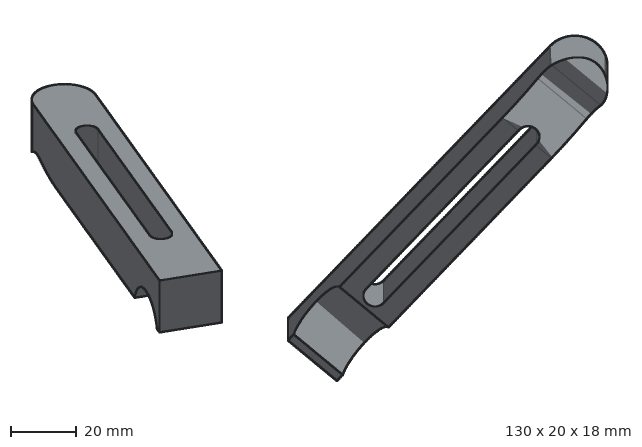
import cadquery as cq
import math

length = 130.0
width = 20.0
height = 18.0
nose_radius = width / 2

slot_start = 28.0
slot_length = 77.0
slot_width = 7.0

notch_radius = 10.9
notch_depth = 7.8
notch_x = length - 13.1

toe_x = nose_radius / 2
toe_radius = 8.0
hollow_height = 2.5
hollow_radius = 8.0
runout_end_x = 31.8


def point_on_arc(center, radius, degrees):
    angle = math.radians(degrees)
    return (center[0] + radius * math.cos(angle), center[1] + radius * math.sin(angle))


def make_side_profile():
    toe_center = (toe_x, toe_radius)
    toe_hollow_sum = toe_radius + hollow_radius
    center_drop = toe_hollow_sum - hollow_height
    hollow_x = toe_x + math.sqrt(toe_hollow_sum**2 - center_drop**2)
    hollow_center = (hollow_x, hollow_height - hollow_radius)
    toe_angle = math.degrees(math.acos(center_drop / toe_hollow_sum))

    runout_span = runout_end_x - hollow_x
    runout_angle = math.degrees(2 * math.atan(hollow_height / runout_span))
    runout_radius = runout_span / math.sin(math.radians(runout_angle)) - hollow_radius
    runout_center = (runout_end_x, runout_radius)

    tip = (0, toe_radius - math.sqrt(toe_radius**2 - toe_x**2))
    toe_end = point_on_arc(toe_center, toe_radius, toe_angle - 90)
    hollow_end = point_on_arc(hollow_center, hollow_radius, 90 - runout_angle)
    runout_middle = point_on_arc(runout_center, runout_radius, -90 - runout_angle / 2)

    return (
        cq.Workplane("XZ")
        .moveTo(0, height)
        .lineTo(*tip)
        .threePointArc((toe_x, 0), toe_end)
        .threePointArc((hollow_x, hollow_height), hollow_end)
        .threePointArc(runout_middle, (runout_end_x, 0))
        .lineTo(length, 0)
        .lineTo(length, height)
        .close()
        .extrude(width / 2, both=True)
    )


def make_plan_outline():
    return (
        cq.Workplane("XY")
        .moveTo(length, -width / 2)
        .lineTo(nose_radius, -width / 2)
        .threePointArc((0, 0), (nose_radius, width / 2))
        .lineTo(length, width / 2)
        .close()
        .extrude(height)
    )


def make_slot():
    return (
        cq.Workplane("XY")
        .center(slot_start + slot_length / 2, 0)
        .slot2D(slot_length, slot_width)
        .extrude(height)
    )


def make_notch():
    return (
        cq.Workplane("XZ")
        .center(notch_x, notch_depth - notch_radius)
        .circle(notch_radius)
        .extrude(width, both=True)
    )


result = make_side_profile().intersect(make_plan_outline()).cut(make_slot()).cut(make_notch())